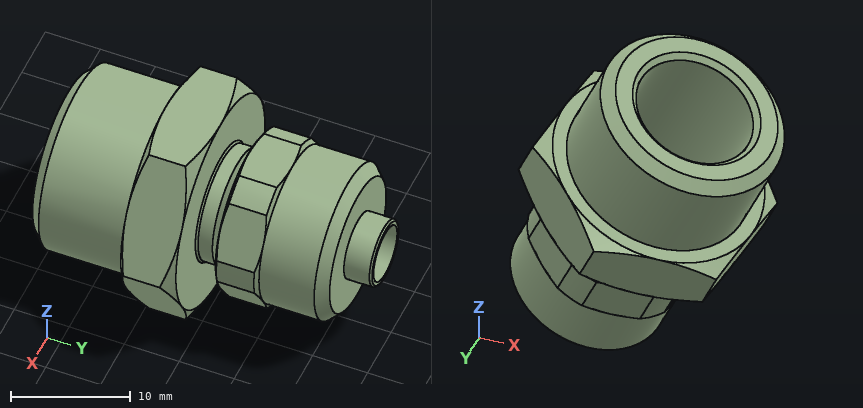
import cadquery as cq
import math

BODY_HEX_START = 9.0
BODY_HEX_END = 14.0
FLARE_START = 15.5
NUT_START = 16.47
NUT_HEX_END = 20.5
NUT_END = 26.5
TOTAL_LENGTH = 29.0

THREAD_DIAMETER = 16.5
BODY_HEX_WIDTH = 19.0
NECK_DIAMETER = 10.38
FLARE_DIAMETER = 11.95
NUT_DIAMETER = 14.05
NUT_CORNER_DIAMETER = 14.95
NUT_FACE_DIAMETER = 13.75
TIP_DIAMETER = 6.0
BORE_DIAMETER = 10.5
BORE_MOUTH_DIAMETER = 11.48
HOLE_DIAMETER = 5.0

END_CHAMFER = 1.0
TIP_CHAMFER = 0.17
NECK_ROOT_CHAMFER = 0.17
BORE_MOUTH_CHAMFER = (BORE_MOUTH_DIAMETER - BORE_DIAMETER) / 2
BORE_DEPTH = 13.0
FLOOR_ANGLE = math.radians(30)
HEX_CHAMFER_ANGLE = math.radians(30)


def cylinder(diameter, start, end):
    """Cylinder on the Y axis between two stations."""
    plane = cq.Workplane("XZ", origin=(0, start, 0))
    return plane.circle(diameter / 2).extrude(start - end)


def cone(start_diameter, end_diameter, start, end):
    """Truncated cone on the Y axis between two stations."""
    profile = [(0, start), (start_diameter / 2, start), (end_diameter / 2, end), (0, end)]
    return cq.Workplane("XY").polyline(profile).close().revolve(360, (0, 0, 0), (0, 1, 0))


def chamfered_hex(width, corner_diameter, start_face_diameter, start, end):
    """Hexagon with flats facing +/-Z, turned to the corner diameter and chamfered at both ends."""
    plane = cq.Workplane("XZ", origin=(0, start, 0))
    prism = plane.polygon(6, width / math.cos(math.pi / 6)).extrude(start - end)
    chamfer_slope = math.tan(HEX_CHAMFER_ANGLE)
    start_chamfer = (corner_diameter - start_face_diameter) / 2 * chamfer_slope
    end_chamfer = (corner_diameter - width) / 2 * chamfer_slope
    profile = [
        (0, start),
        (start_face_diameter / 2, start),
        (corner_diameter / 2, start + start_chamfer),
        (corner_diameter / 2, end - end_chamfer),
        (width / 2, end),
        (0, end),
    ]
    blank = cq.Workplane("XY").polyline(profile).close().revolve(360, (0, 0, 0), (0, 1, 0))
    return prism.intersect(blank)


thread = cylinder(THREAD_DIAMETER, 0, BODY_HEX_END).faces("<Y").chamfer(END_CHAMFER)
body_hex_corners = BODY_HEX_WIDTH / math.cos(math.pi / 6)
body_hex = chamfered_hex(BODY_HEX_WIDTH, body_hex_corners, BODY_HEX_WIDTH, BODY_HEX_START, BODY_HEX_END)
neck = cylinder(NECK_DIAMETER, BODY_HEX_START, NUT_HEX_END)
root_end = BODY_HEX_END + NECK_ROOT_CHAMFER
neck_root = cone(NECK_DIAMETER + 2 * NECK_ROOT_CHAMFER, NECK_DIAMETER, BODY_HEX_END, root_end)
flare_end = FLARE_START + (FLARE_DIAMETER - NECK_DIAMETER) / 2
flare = cone(NECK_DIAMETER, FLARE_DIAMETER, FLARE_START, flare_end)
collar = cylinder(FLARE_DIAMETER, flare_end, NUT_HEX_END)

nut_hex = chamfered_hex(NUT_DIAMETER, NUT_CORNER_DIAMETER, NUT_FACE_DIAMETER, NUT_START, NUT_HEX_END)
nut_sleeve = cylinder(NUT_DIAMETER, NUT_HEX_END, NUT_END).faces(">Y").chamfer(END_CHAMFER)
tip = cylinder(TIP_DIAMETER, NUT_HEX_END, TOTAL_LENGTH).faces(">Y").chamfer(TIP_CHAMFER)

result = thread
for section in (body_hex, neck, neck_root, flare, collar, nut_hex, nut_sleeve, tip):
    result = result.union(section)

floor_end = BORE_DEPTH + (BORE_DIAMETER - HOLE_DIAMETER) / 2 * math.tan(FLOOR_ANGLE)
result = result.cut(cone(BORE_MOUTH_DIAMETER, BORE_DIAMETER, 0, BORE_MOUTH_CHAMFER))
result = result.cut(cylinder(BORE_DIAMETER, 0, BORE_DEPTH))
result = result.cut(cone(BORE_DIAMETER, HOLE_DIAMETER, BORE_DEPTH, floor_end))
result = result.cut(cylinder(HOLE_DIAMETER, 0, TOTAL_LENGTH))